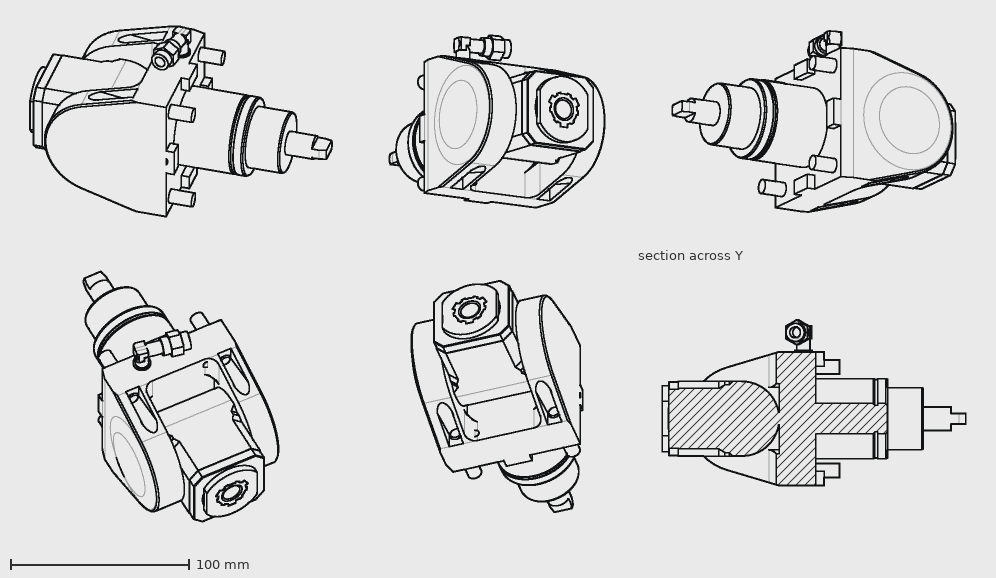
import math

import cadquery as cq


HALF_HEIGHT = 37.5
SIDE_MINUS_Y = -37.5
SIDE_PLUS_Y = 39.5
PIVOT_X = -41.45
ARM_RADIUS = 30.0
ARM_TAPER_DEG = 16.6
RIM_CHAMFER = 1.0
FLANGE_CHAMFER_X = 7.0
FLANGE_CHAMFER_Y = 2.0

FLANGE_THICKNESS = 20.5
WINDOW_WIDTH = 45.0
WINDOW_FILLET = 6.0
CORNER_RELIEF_RADIUS = 28.5

CAP_HEIGHT = 2.5
CAP_BASE_RADIUS = 28.0
CAP_TOP_RADIUS = 19.3

BOLT_SPACING = 58.0
BOLT_RADIUS = 4.0
BOLT_TIP_X = 13.4
BOLT_HEAD_STICK_OUT = 0.8
BOLT_HEAD_CHAMFER = 0.8
GROOVE_HALF_WIDTH = 4.1
GROOVE_FLOOR_RADIUS = 4.6
GROOVE_TIP_X = -47.9
GROOVE_TIP_Z = 29.4
GROOVE_TILT_DEG = 7.5

KEY_WIDTH = 15.2
KEY_HEIGHT = 4.65
KEY_LENGTH = 8.0

KEY_NOTCH_RADIUS = 2.6
KEY_NOTCH_X = -1.8
KEY_NOTCH_DEPTH = 0.5

DOWEL_RADIUS = 2.4
DOWEL_Y = 18.0
DOWEL_Z = 32.0
DOWEL_STICK_OUT = 0.2
DOWEL_LENGTH = 15.0

SLEEVE_RADIUS = 22.5
SLEEVE_END = 40.25
SEAL_GROOVE_START = 32.2
SEAL_GROOVE_RAMP = 0.9
SEAL_GROOVE_END = 34.6
SEAL_GROOVE_DEPTH = 0.4
NOSE_RADIUS = 17.45
NOSE_END = 60.25
SPINDLE_CHAMFER_LENGTH = 1.0
SPINDLE_CHAMFER_DEPTH = 0.5
SHAFT_RADIUS = 6.7
SHAFT_CONE_START = 80.0
SHAFT_END = 84.11
SHAFT_TIP_RADIUS = 5.9
TANG_START = 75.8
TANG_THICKNESS = 6.1

HEAD_HALF_HEIGHT = 21.0
HEAD_CHAMFER = 5.7
HEAD_CHAMFER_STEP = 3.7
HEAD_CHAMFER_END = -54.4
HEAD_STEP_START = -51.0
HEAD_STEP_END = -48.6
HEAD_RUNOUT_END = -45.0
HEAD_RUNOUT_LEG = 0.02
FACE_PLATE_BACK = -77.1
FACE_PLATE_FRONT = -82.5
FACE_PLATE_INSET = 0.3
FACE_PLATE_CHAMFER = 0.4

BOSS_FRONT = -86.15
BOSS_RADIUS = 18.6
BOSS_WIDTH = 31.8
COLLAR_RADIUS = 16.9
COLLAR_HEIGHT = 0.3

NUT_RADIUS = 8.7
NUT_DEPTH = 0.3
NUT_TEETH = 3
WIDE_TOOTH_RADIUS = 10.3
WIDE_TOOTH_WIDTH = 4.6
NARROW_TOOTH_RADIUS = 9.5
NARROW_TOOTH_WIDTH = 2.4
NARROW_TOOTH_ANGLE = 38.0
CONE_MOUTH_RADIUS = 6.4
CONE_FLOOR_RADIUS = 5.3
CONE_DEPTH = 0.5

ELBOW_X = -7.0
ELBOW_Y = 16.0
ELBOW_AXIS_Z = 48.37
ELBOW_TURN_DEG = 9.7
PIPE_RADIUS = 3.8
STEM_FOOT_RADIUS = 4.9
STEM_FOOT_HEIGHT = 0.9
ELBOW_BLOCK_BACK = -4.0
ELBOW_BLOCK_FRONT = 2.6
ELBOW_BLOCK_WIDTH = 8.6
ELBOW_BLOCK_HEIGHT = 7.3
ELBOW_BLOCK_CHAMFER = 1.0
ELBOW_NOTCH_START = 0.2
ELBOW_NOTCH_TOP = -0.8
FITTING_RADIUS = 5.15
FITTING_START = 11.4
HEX_START = 15.9
HEX_END = 22.8
HEX_CORNER_RADIUS = 7.0
HEX_TURN_DEG = 30.0
FITTING_END = 27.3
FITTING_BORE_RADIUS = 3.05
FITTING_BORE_DEPTH = 10.0

OVERLAP = 1.0

BIG = 200.0


def x_cylinder(radius, x_start, x_end, y=0.0, z=0.0):
    """Cylinder along X between two X positions."""
    return cq.Workplane("YZ", origin=(x_start, 0, 0)).center(y, z).circle(radius).extrude(x_end - x_start)


def y_cylinder(radius, y_start, y_end, x):
    """Cylinder along Y between two Y positions, on the level of the spindle axis."""
    return cq.Workplane("XZ", origin=(x, y_start, 0)).circle(radius).extrude(y_start - y_end)


def block(x_range, y_range, z_range):
    """Box given by its limits along the three axes."""
    size = [high - low for low, high in (x_range, y_range, z_range)]
    corner = (x_range[0], y_range[0], z_range[0])
    return cq.Workplane("XY").box(*size, centered=False).translate(corner)


def make_yoke_blank():
    """Rounded, tapering body with chamfered rims, trimmed to the flange height."""
    taper = math.radians(ARM_TAPER_DEG)
    tangent_x = PIVOT_X - ARM_RADIUS * math.sin(taper)
    tangent_z = ARM_RADIUS * math.cos(taper)
    end_z = tangent_z - tangent_x * math.tan(taper)
    body = (
        cq.Workplane("XZ", origin=(0, SIDE_PLUS_Y, 0))
        .moveTo(0, -end_z)
        .lineTo(tangent_x, -tangent_z)
        .threePointArc((PIVOT_X - ARM_RADIUS, 0), (tangent_x, tangent_z))
        .lineTo(0, end_z)
        .close()
        .extrude(SIDE_PLUS_Y - SIDE_MINUS_Y)
    )
    rims = body.faces("<Y or >Y").edges("not(>X)")
    body = rims.chamfer(RIM_CHAMFER)
    slab = block((-BIG, 0), (-BIG, BIG), (-HALF_HEIGHT, HALF_HEIGHT))
    return body.intersect(slab)


def make_flange_chamfer():
    """Wedge taken off the +Y side of the flange next to the mounting face."""
    return (
        cq.Workplane("XY")
        .polyline([(0, SIDE_PLUS_Y), (-FLANGE_CHAMFER_X, SIDE_PLUS_Y), (0, SIDE_PLUS_Y - FLANGE_CHAMFER_Y)])
        .close()
        .extrude(HALF_HEIGHT, both=True)
    )


def make_window():
    """Space between the arms, with rounded inner corners relieved around the head."""
    half_width = WINDOW_WIDTH / 2
    opening = block((-BIG, -FLANGE_THICKNESS), (-half_width, half_width), (-BIG, BIG))
    relief = x_cylinder(CORNER_RELIEF_RADIUS, PIVOT_X, -FLANGE_THICKNESS).intersect(opening)
    return opening.edges("|Z and >X").fillet(WINDOW_FILLET).union(relief)


def make_bolt_groove(y, side):
    """Round-floored groove, open outwards and deepening towards the flange.

    side is +1 for the top of the yoke and -1 for the bottom.
    """
    sagitta = GROOVE_FLOOR_RADIUS - math.sqrt(GROOVE_FLOOR_RADIUS**2 - GROOVE_HALF_WIDTH**2)
    wall_z = side * (GROOVE_TIP_Z + sagitta)
    outer_z = side * 2 * HALF_HEIGHT
    groove = (
        cq.Workplane("YZ", origin=(2 * GROOVE_TIP_X, y, 0))
        .moveTo(-GROOVE_HALF_WIDTH, outer_z)
        .lineTo(-GROOVE_HALF_WIDTH, wall_z)
        .threePointArc((0, side * GROOVE_TIP_Z), (GROOVE_HALF_WIDTH, wall_z))
        .lineTo(GROOVE_HALF_WIDTH, outer_z)
        .close()
        .extrude(-2 * GROOVE_TIP_X)
    )
    tip = (GROOVE_TIP_X, 0, side * GROOVE_TIP_Z)
    tip_along_y = (GROOVE_TIP_X, 1, side * GROOVE_TIP_Z)
    groove = groove.rotate(tip, tip_along_y, side * GROOVE_TILT_DEG)
    return groove.intersect(block((-BIG, -FLANGE_THICKNESS), (-BIG, BIG), (-BIG, BIG)))


def make_bolt(y, z):
    """Plain bolt through the flange with a chamfered rear end in the groove."""
    bolt = x_cylinder(BOLT_RADIUS, -FLANGE_THICKNESS - BOLT_HEAD_STICK_OUT, BOLT_TIP_X, y, z)
    return bolt.faces("<X").chamfer(BOLT_HEAD_CHAMFER)


def make_yoke():
    """Yoke with window, bolt grooves, bolts, keys, dowel pins and the cap on the +Y arm."""
    yoke = make_yoke_blank().cut(make_flange_chamfer()).cut(make_window())
    half_spacing = BOLT_SPACING / 2
    for y in (-half_spacing, half_spacing):
        for side in (-1, 1):
            yoke = yoke.cut(make_bolt_groove(y, side))
            yoke = yoke.union(make_bolt(y, side * half_spacing))

    key = block(
        (-OVERLAP, KEY_HEIGHT),
        (-KEY_WIDTH / 2, KEY_WIDTH / 2),
        (HALF_HEIGHT - KEY_LENGTH, HALF_HEIGHT),
    )
    for turn in range(4):
        yoke = yoke.union(key.rotate((0, 0, 0), (1, 0, 0), 90 * turn))

    notch = y_cylinder(KEY_NOTCH_RADIUS, SIDE_MINUS_Y, SIDE_MINUS_Y + KEY_NOTCH_DEPTH, KEY_NOTCH_X)
    yoke = yoke.cut(notch.intersect(block((0, BIG), (-BIG, BIG), (-BIG, BIG))))

    dowel_start = -FLANGE_THICKNESS - DOWEL_STICK_OUT
    dowel_end = dowel_start + DOWEL_LENGTH
    for side in (-1, 1):
        pin = x_cylinder(DOWEL_RADIUS, dowel_start, dowel_end, -side * DOWEL_Y, side * DOWEL_Z)
        yoke = yoke.union(pin)
    return yoke.union(make_cap())


def make_cap():
    """Flat cone standing on the +Y side around the pivot axis."""
    profile = [(0, 0), (CAP_BASE_RADIUS, 0), (CAP_TOP_RADIUS, CAP_HEIGHT), (0, CAP_HEIGHT)]
    cone = cq.Workplane("XY").polyline(profile).close().revolve(360, (0, 0, 0), (0, 1, 0))
    return cone.translate((PIVOT_X, SIDE_PLUS_Y, 0))


def make_spindle():
    """Stepped sleeve with seal groove, nose and a drive shaft ending in a flat tang."""
    groove_radius = SLEEVE_RADIUS - SEAL_GROOVE_DEPTH
    profile = [
        (-OVERLAP, 0),
        (-OVERLAP, SLEEVE_RADIUS),
        (SEAL_GROOVE_START, SLEEVE_RADIUS),
        (SEAL_GROOVE_START + SEAL_GROOVE_RAMP, groove_radius),
        (SEAL_GROOVE_END, groove_radius),
        (SEAL_GROOVE_END, SLEEVE_RADIUS),
        (SLEEVE_END - SPINDLE_CHAMFER_LENGTH, SLEEVE_RADIUS),
        (SLEEVE_END, SLEEVE_RADIUS - SPINDLE_CHAMFER_DEPTH),
        (SLEEVE_END, NOSE_RADIUS),
        (NOSE_END - SPINDLE_CHAMFER_LENGTH, NOSE_RADIUS),
        (NOSE_END, NOSE_RADIUS - SPINDLE_CHAMFER_DEPTH),
        (NOSE_END, SHAFT_RADIUS),
        (SHAFT_CONE_START, SHAFT_RADIUS),
        (SHAFT_END, SHAFT_TIP_RADIUS),
        (SHAFT_END, 0),
    ]
    spindle = cq.Workplane("XY").polyline(profile).close().revolve(360, (0, 0, 0), (1, 0, 0))
    for side in (-1, 1):
        z_limits = sorted((side * TANG_THICKNESS / 2, side * 2 * SHAFT_RADIUS))
        spindle = spindle.cut(block((TANG_START, BIG), (-SHAFT_RADIUS, SHAFT_RADIUS), z_limits))
    return spindle


def make_corner_cut(y_side, z_side):
    """Chamfer along one long edge of the head, running out in a step and a ramp."""
    stations = [
        (FACE_PLATE_FRONT, HEAD_CHAMFER),
        (HEAD_CHAMFER_END, HEAD_CHAMFER),
        (HEAD_STEP_START, HEAD_CHAMFER_STEP),
        (HEAD_STEP_END, HEAD_CHAMFER_STEP),
        (HEAD_RUNOUT_END, HEAD_RUNOUT_LEG),
    ]
    corner_y = y_side * WINDOW_WIDTH / 2
    corner_z = z_side * HEAD_HALF_HEIGHT
    wires = []
    for x, leg in stations:
        points = [
            cq.Vector(x, corner_y, corner_z),
            cq.Vector(x, corner_y - y_side * leg, corner_z),
            cq.Vector(x, corner_y, corner_z - z_side * leg),
        ]
        wires.append(cq.Wire.makePolygon(points, close=True))
    return cq.Workplane("XY").add(cq.Solid.makeLoft(wires, True))


def make_head():
    """Square head with a half-round back, chamfered edges, a face plate and a boss."""
    half_width = WINDOW_WIDTH / 2
    y_range = (-half_width, half_width)
    head = block((FACE_PLATE_BACK, PIVOT_X), y_range, (-HEAD_HALF_HEIGHT, HEAD_HALF_HEIGHT))
    head = head.union(y_cylinder(HEAD_HALF_HEIGHT, *y_range, PIVOT_X))
    for y_side in (-1, 1):
        for z_side in (-1, 1):
            head = head.cut(make_corner_cut(y_side, z_side))
    return head.union(make_face_plate()).union(make_boss()).cut(make_nut_recess())


def make_face_plate():
    """Octagonal plate on the front of the head, slightly smaller than the head."""
    plate_half_width = WINDOW_WIDTH / 2 - FACE_PLATE_INSET
    plate_half_height = HEAD_HALF_HEIGHT - FACE_PLATE_INSET
    plate = block(
        (FACE_PLATE_FRONT, FACE_PLATE_BACK),
        (-plate_half_width, plate_half_width),
        (-plate_half_height, plate_half_height),
    )
    plate = plate.edges("|X").chamfer(HEAD_CHAMFER - FACE_PLATE_INSET)
    return plate.faces("<X").chamfer(FACE_PLATE_CHAMFER)


def make_boss():
    """Round boss with two flats, on a low round collar."""
    flats = block((-BIG, 0), (-BOSS_WIDTH / 2, BOSS_WIDTH / 2), (-BIG, BIG))
    boss = x_cylinder(BOSS_RADIUS, BOSS_FRONT, FACE_PLATE_FRONT).intersect(flats)
    collar = x_cylinder(COLLAR_RADIUS, FACE_PLATE_FRONT - COLLAR_HEIGHT, FACE_PLATE_FRONT)
    return boss.union(collar)


def make_nut_recess():
    """Shallow toothed recess with a conical hollow in its middle."""
    floor_x = BOSS_FRONT + NUT_DEPTH

    def tooth(radius, width, angle):
        bar = block((BOSS_FRONT, floor_x), (-width / 2, width / 2), (-radius, 0))
        return bar.rotate((0, 0, 0), (1, 0, 0), angle)

    recess = x_cylinder(NUT_RADIUS, BOSS_FRONT, floor_x)
    for index in range(NUT_TEETH):
        angle = index * 360 / NUT_TEETH
        recess = recess.union(tooth(WIDE_TOOTH_RADIUS, WIDE_TOOTH_WIDTH, angle))
        for offset in (-NARROW_TOOTH_ANGLE, NARROW_TOOTH_ANGLE):
            recess = recess.union(tooth(NARROW_TOOTH_RADIUS, NARROW_TOOTH_WIDTH, angle + offset))
    cone = (
        cq.Workplane("YZ", origin=(floor_x, 0, 0))
        .circle(CONE_MOUTH_RADIUS)
        .workplane(offset=CONE_DEPTH)
        .circle(CONE_FLOOR_RADIUS)
        .loft()
    )
    return recess.union(cone)


def make_elbow():
    """Coolant elbow: upright stem, block and a horizontal fitting with a hexagon and a bore.

    Built with the stem on the Z axis and the fitting along -Y, then turned and placed.
    """
    def along(start, end, radius):
        return y_cylinder(radius, -end, -start, 0)

    stem_height = ELBOW_AXIS_Z - HALF_HEIGHT
    foot = cq.Workplane("XY", origin=(0, 0, -stem_height)).circle(STEM_FOOT_RADIUS).extrude(STEM_FOOT_HEIGHT)
    stem = cq.Workplane("XY", origin=(0, 0, -stem_height)).circle(PIPE_RADIUS).extrude(stem_height)
    half_width = ELBOW_BLOCK_WIDTH / 2
    half_height = ELBOW_BLOCK_HEIGHT / 2
    body = block(
        (-half_width, half_width),
        (-ELBOW_BLOCK_FRONT, -ELBOW_BLOCK_BACK),
        (-half_height, half_height),
    )
    body = body.edges("|Z and >Y").chamfer(ELBOW_BLOCK_CHAMFER)
    notch = block((-BIG, BIG), (-BIG, -ELBOW_NOTCH_START), (-BIG, ELBOW_NOTCH_TOP))
    body = body.cut(notch)
    hexagon = (
        cq.Workplane("XZ", origin=(0, -HEX_START, 0))
        .polygon(6, 2 * HEX_CORNER_RADIUS)
        .extrude(HEX_END - HEX_START)
        .rotate((0, 0, 0), (0, 1, 0), HEX_TURN_DEG)
    )
    elbow = foot.union(stem).union(body).union(hexagon)
    elbow = elbow.union(along(ELBOW_BLOCK_BACK, FITTING_START, PIPE_RADIUS))
    elbow = elbow.union(along(FITTING_START, FITTING_END, FITTING_RADIUS))
    elbow = elbow.cut(along(FITTING_END - FITTING_BORE_DEPTH, FITTING_END, FITTING_BORE_RADIUS))
    elbow = elbow.rotate((0, 0, 0), (0, 0, 1), -ELBOW_TURN_DEG)
    return elbow.translate((ELBOW_X, ELBOW_Y, ELBOW_AXIS_Z))


result = make_yoke().union(make_spindle()).union(make_head()).union(make_elbow())